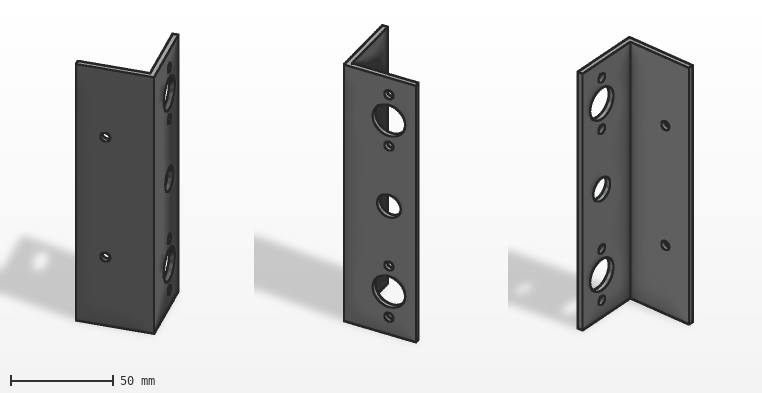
import cadquery as cq

length = 150.0
leg_width = 40.0
thickness = 3.0

edge_to_holes = 15.0
screw_diameter = 5.0
mount_spacing = 70.0
port_diameter = 18.0
port_spacing = 100.0
port_screw_spacing = 30.0
center_diameter = 13.0

mid_height = length / 2


def pair(middle, spacing):
    """Two heights placed evenly about a middle height."""
    return [middle - spacing / 2, middle + spacing / 2]


def front_hole(height, diameter):
    """Cutter along Y through the front leg."""
    return (
        cq.Workplane("XZ", origin=(edge_to_holes, thickness, height))
        .circle(diameter / 2)
        .extrude(thickness)
    )


def side_hole(height, diameter):
    """Cutter along X through the side leg."""
    return (
        cq.Workplane("YZ", origin=(leg_width - thickness, leg_width - edge_to_holes, height))
        .circle(diameter / 2)
        .extrude(thickness)
    )


front_leg = cq.Workplane("XY").box(leg_width, thickness, length, centered=False)
side_leg = (
    cq.Workplane("XY", origin=(leg_width - thickness, 0, 0))
    .box(thickness, leg_width, length, centered=False)
)
result = front_leg.union(side_leg)

for height in pair(mid_height, mount_spacing):
    result = result.cut(front_hole(height, screw_diameter))

result = result.cut(side_hole(mid_height, center_diameter))
for port_height in pair(mid_height, port_spacing):
    result = result.cut(side_hole(port_height, port_diameter))
    for screw_height in pair(port_height, port_screw_spacing):
        result = result.cut(side_hole(screw_height, screw_diameter))